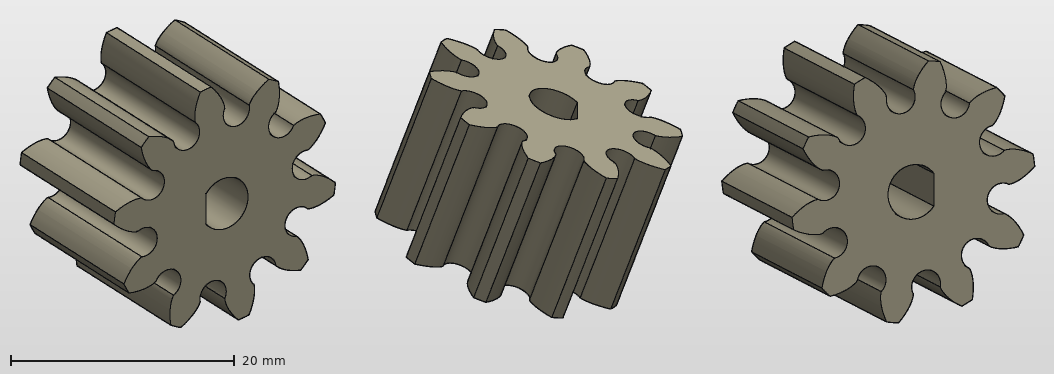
import cadquery as cq
import math

tooth_count = 10
pitch_diameter = 20.0
pressure_angle = math.radians(20)
face_width = 15.0
root_radius = 7.4
bore_radius = 2.5
bore_flat_offset = 2.0

flank_joint_radii = [9.8, 10.18, 10.73]

module = pitch_diameter / tooth_count
pitch_radius = pitch_diameter / 2
base_radius = pitch_radius * math.cos(pressure_angle)
tip_radius = pitch_radius + module
tooth_pitch = 2 * math.pi / tooth_count

involute_of_pressure_angle = math.tan(pressure_angle) - pressure_angle
base_half_angle = tooth_pitch / 4 + involute_of_pressure_angle

first_tooth_angle = math.pi / 2 + base_half_angle


def polar(radius, angle):
    """Point in the YZ plane, with the angle measured from +Y towards +Z."""
    return (radius * math.cos(angle), radius * math.sin(angle))


def roll_at(radius):
    """Involute roll angle at which the flank reaches a radius."""
    return math.sqrt((radius / base_radius) ** 2 - 1)


def flank_point(axis_angle, side, roll):
    """Point on one flank of a tooth; side is -1 for rising, +1 for falling."""
    radius = base_radius * math.sqrt(1 + roll**2)
    half_angle = base_half_angle - (roll - math.atan(roll))
    return polar(radius, axis_angle + side * half_angle)


def add_flank(outline, axis_angle, side, rolls):
    """Trace a flank as arcs that each touch the involute at three points."""
    for start, end in zip(rolls, rolls[1:]):
        middle = (start + end) / 2
        outline = outline.threePointArc(
            flank_point(axis_angle, side, middle),
            flank_point(axis_angle, side, end),
        )
    return outline


def gear_outline():
    """Closed outline of all the teeth and the round gaps between them."""
    rising_rolls = [roll_at(r) for r in [base_radius, *flank_joint_radii, tip_radius]]
    falling_rolls = rising_rolls[::-1]
    tip_roll = rising_rolls[-1]

    outline = cq.Workplane("YZ").moveTo(*flank_point(first_tooth_angle, -1, 0))
    for index in range(tooth_count):
        axis_angle = first_tooth_angle + index * tooth_pitch
        outline = add_flank(outline, axis_angle, -1, rising_rolls)
        outline = outline.threePointArc(
            polar(tip_radius, axis_angle),
            flank_point(axis_angle, 1, tip_roll),
        )
        outline = add_flank(outline, axis_angle, 1, falling_rolls)
        outline = outline.threePointArc(
            polar(root_radius, axis_angle + tooth_pitch / 2),
            flank_point(axis_angle + tooth_pitch, -1, 0),
        )
    return outline.close()


def bore():
    """D-shaped shaft hole through the full width, with its flat facing +Y."""
    flat_half_height = math.sqrt(bore_radius**2 - bore_flat_offset**2)
    return (
        cq.Workplane("YZ")
        .moveTo(-bore_flat_offset, -flat_half_height)
        .threePointArc((bore_radius, 0), (-bore_flat_offset, flat_half_height))
        .close()
        .extrude(face_width)
    )


result = gear_outline().extrude(face_width).cut(bore())